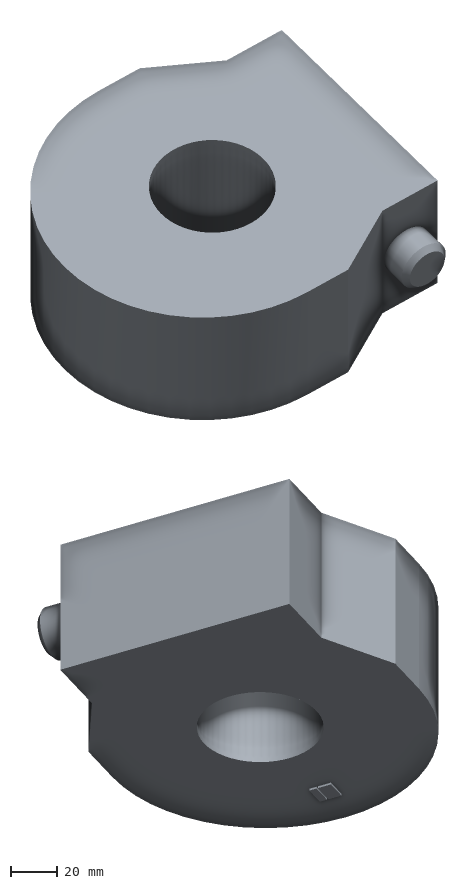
import cadquery as cq

housing_width = 150.0
housing_length = 160.0
housing_height = 65.0
bore_diameter = 55.0
back_to_bore = 80.0
neck_width = 112.0
neck_length = 30.0
shoulder_length = 33.0

round_radius = housing_width / 2
back_y = back_to_bore
shoulder_top_y = back_y - neck_length
shoulder_bottom_y = shoulder_top_y - shoulder_length
front_y = back_y - housing_length
round_center_y = front_y + round_radius

mark_height = 1.0
mark_length = 10.0
mark_center_y = -57.8
wide_mark_width = 6.4
wide_mark_center_x = -3.8
narrow_mark_width = 3.5
narrow_mark_center_x = 1.8

stub_diameter = 24.0
stub_length = 15.0
stub_chamfer = 2.5
back_to_stub = 17.0

stub_y = back_y - back_to_stub
stub_z = housing_height / 2


def make_block():
    """The outline of the housing, raised to its full height."""
    half_neck = neck_width / 2
    return (
        cq.Workplane("XY")
        .moveTo(-half_neck, back_y)
        .lineTo(half_neck, back_y)
        .lineTo(half_neck, shoulder_top_y)
        .lineTo(round_radius, shoulder_bottom_y)
        .lineTo(round_radius, round_center_y)
        .threePointArc((0, front_y), (-round_radius, round_center_y))
        .lineTo(-round_radius, shoulder_bottom_y)
        .lineTo(-half_neck, shoulder_top_y)
        .close()
        .extrude(housing_height)
    )


def make_bore():
    """The cylinder removed for the bore."""
    return cq.Workplane("XY").circle(bore_diameter / 2).extrude(housing_height)


def make_mark(width, center_x):
    """A flat rectangular mark hanging from the underside."""
    return (
        cq.Workplane("XY")
        .center(center_x, mark_center_y)
        .rect(width, mark_length)
        .extrude(-mark_height)
    )


def make_housing():
    """The block with its bore and the raised marks on its underside."""
    body = make_block().cut(make_bore())
    body = body.union(make_mark(wide_mark_width, wide_mark_center_x))
    return body.union(make_mark(narrow_mark_width, narrow_mark_center_x))


def make_stub():
    """The round stub, seated on the side face of the neck."""
    return (
        cq.Workplane("YZ", origin=(neck_width / 2, stub_y, stub_z))
        .circle(stub_diameter / 2)
        .extrude(stub_length)
        .faces(">X")
        .chamfer(stub_chamfer)
    )


housing = make_housing().solids()
stub = make_stub().solids()

result = cq.Compound.makeCompound([housing.val(), stub.val()])